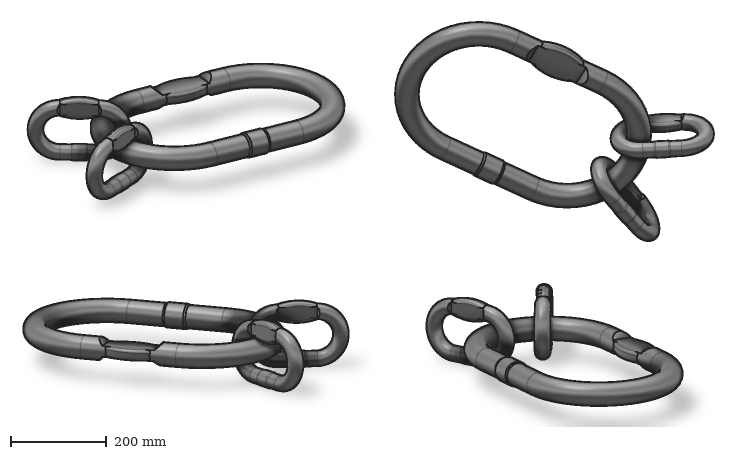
import cadquery as cq


MASTER_WIRE = 50.0
MASTER_INNER_WIDTH = 250.0
MASTER_INNER_LENGTH = 460.0
MASTER_BEND = (MASTER_INNER_WIDTH + MASTER_WIRE) / 2
MASTER_STRAIGHT = MASTER_INNER_LENGTH - MASTER_INNER_WIDTH
MASTER_FLAT_LENGTH = 113.0
MASTER_FLAT_WIDTH = 70.0
MASTER_FLAT_END_WIDTH = 41.0
MASTER_FLAT_THICKNESS = 24.0
MASTER_FLAT_ROUND = 6.0
MASTER_BEAD = 54.0
MASTER_BEAD_LENGTH = 50.5
MASTER_BEAD_TAPER = 4.5

COUPLING_WIRE = 33.0
COUPLING_INNER_WIDTH = 68.5
COUPLING_INNER_LENGTH = 150.0
COUPLING_BEND = (COUPLING_INNER_WIDTH + COUPLING_WIRE) / 2
COUPLING_STRAIGHT = COUPLING_INNER_LENGTH - COUPLING_INNER_WIDTH
COUPLING_FLAT_LENGTH = COUPLING_STRAIGHT
COUPLING_FLAT_WIDTH = 47.0
COUPLING_FLAT_END_WIDTH = COUPLING_WIRE
COUPLING_FLAT_THICKNESS = 22.5
COUPLING_FLAT_ROUND = 8.0
COUPLING_BEAD = 35.0
COUPLING_BEAD_LENGTH = 34.0
COUPLING_BEAD_TAPER = 3.0

COUPLING_PLACES = [(-92.0, -280.5, -32.0), (81.0, -286.5, 24.7)]


def ring(wire, bend, straight):
    """Round wire swept around a centreline of two straight legs and two half circles."""
    half = straight / 2
    path = (
        cq.Workplane("XY")
        .moveTo(bend, -half)
        .lineTo(bend, half)
        .threePointArc((0, half + bend), (-bend, half))
        .lineTo(-bend, -half)
        .threePointArc((0, -half - bend), (bend, -half))
        .close()
    )
    section = cq.Workplane("XZ", origin=(bend, -half, 0)).circle(wire / 2)
    return section.sweep(path)


def press_cuts(wire, bend, length, thickness):
    """Material pressed off both faces of the -X leg, ending in 45 degree ramps."""
    face = thickness / 2
    top = wire
    half = length / 2
    ramp = top - face
    upper = (
        cq.Workplane("YZ", origin=(-bend - wire / 2, 0, 0))
        .polyline([(-half, face), (half, face), (half + ramp, top), (-half - ramp, top)])
        .close()
        .extrude(wire)
    )
    return upper.union(upper.mirror("XY"))


def flat_plate(bend, length, width, end_width, thickness, edge_round):
    """Plate with bulging sides, rounded along the long edges, on the -X leg."""
    half = length / 2
    end = end_width / 2
    return (
        cq.Workplane("XY", origin=(-bend, 0, -thickness / 2))
        .moveTo(end, -half)
        .threePointArc((width / 2, 0), (end, half))
        .lineTo(-end, half)
        .threePointArc((-width / 2, 0), (-end, -half))
        .close()
        .extrude(thickness)
        .edges("%CIRCLE")
        .fillet(edge_round)
    )


def weld_bead(wire, bend, diameter, length, taper):
    """Raised band around the +X leg, tapering down to the wire at both ends."""
    half = length / 2
    crest = diameter / 2
    root = wire / 2
    return (
        cq.Workplane("XY", origin=(bend, 0, 0))
        .polyline([
            (0, -half), (root, -half), (crest, -half + taper),
            (crest, half - taper), (root, half), (0, half),
        ])
        .close()
        .revolve(360, (0, 0, 0), (0, 1, 0))
    )


def master_link():
    body = ring(MASTER_WIRE, MASTER_BEND, MASTER_STRAIGHT)
    body = body.cut(press_cuts(MASTER_WIRE, MASTER_BEND, MASTER_FLAT_LENGTH, MASTER_FLAT_THICKNESS))
    plate = flat_plate(
        MASTER_BEND, MASTER_FLAT_LENGTH, MASTER_FLAT_WIDTH,
        MASTER_FLAT_END_WIDTH, MASTER_FLAT_THICKNESS, MASTER_FLAT_ROUND,
    )
    bead = weld_bead(MASTER_WIRE, MASTER_BEND, MASTER_BEAD, MASTER_BEAD_LENGTH, MASTER_BEAD_TAPER)
    return body.union(plate).union(bead)


def coupling_link(x, y, swing):
    """Ring stood on edge, flat uppermost, then swung about Z and moved into place."""
    body = ring(COUPLING_WIRE, COUPLING_BEND, COUPLING_STRAIGHT)
    body = body.cut(
        press_cuts(COUPLING_WIRE, COUPLING_BEND, COUPLING_FLAT_LENGTH, COUPLING_FLAT_THICKNESS)
    )
    plate = flat_plate(
        COUPLING_BEND, COUPLING_FLAT_LENGTH, COUPLING_FLAT_WIDTH,
        COUPLING_FLAT_END_WIDTH, COUPLING_FLAT_THICKNESS, COUPLING_FLAT_ROUND,
    )
    bead = weld_bead(
        COUPLING_WIRE, COUPLING_BEND, COUPLING_BEAD, COUPLING_BEAD_LENGTH, COUPLING_BEAD_TAPER
    )
    link = body.union(plate).union(bead)
    link = link.rotate((0, 0, 0), (0, 1, 0), 90)
    link = link.rotate((0, 0, 0), (0, 0, 1), swing)
    return link.translate((x, y, 0))


master = master_link()
couplings = [coupling_link(*place) for place in COUPLING_PLACES]

result = cq.Compound.makeCompound([master.val(), *[link.val() for link in couplings]])